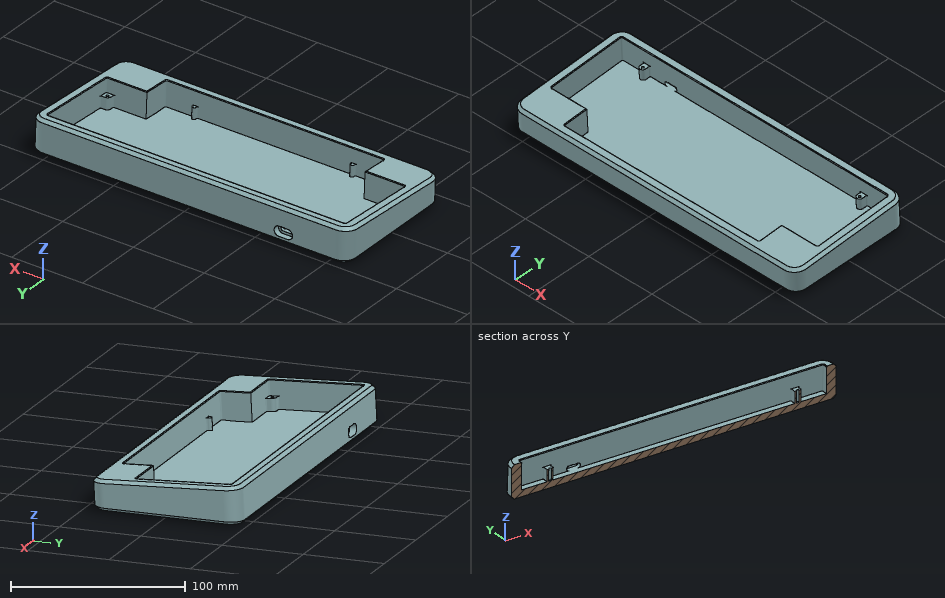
import cadquery as cq
import math

LENGTH = 225.3
DEPTH = 92.0
TILT = 3.0
RIM_HEIGHT = 20.7
RIM_SHIFT = -0.7
CORNER_RADIUS = 9.0
EDGE_CHAMFER = 2.0

CAVITY_HALF_LENGTH = 105.5
CAVITY_BACK = 39.0
CAVITY_FRONT = -38.8
BLOCK_INNER_X = 77.0
BLOCK_BACK = -19.8
CAVITY_DEPTH = 17.8
CAVITY_CORNER_RADIUS = 1.0
RIM_CHAMFER = 0.5
RIM_TAPER = -45
MIN_FLOOR = 1.3

POST_HEIGHT = 7.9
POST_FILLET = 0.7
POST_EMBED = 1.1
SCREW_DIAMETER = 1.6
BACK_POST_X = 85.8
BACK_POST_RADIUS = 2.3
BACK_POST_REACH = 3.4
CORNER_POST_RADIUS = 2.5
CORNER_POST_REACH = 3.0
FRONT_POST_X = 55.9
FRONT_POST_RADIUS = 1.4
FRONT_POST_REACH = 1.4

PORT_X = -67.1
PORT_WIDTH = 9.5
PORT_HEIGHT = 3.2
PORT_WALL = 2.7
PLUG_HEIGHT = 6.5
PLUG_WIDTH = PORT_WIDTH + PLUG_HEIGHT - PORT_HEIGHT

SPAN = 2 * LENGTH
SIDES = (-1, 1)
ARC_MIDDLE = math.sqrt(0.5)


def sloped(below=0.0):
    """Workplane parallel to the top, the given distance below it."""
    level = cq.Plane(origin=(0, RIM_SHIFT, RIM_HEIGHT))
    return cq.Workplane(level.rotated((TILT, 0, 0))).workplane(offset=-below)


def space_above(height):
    """Large block filling everything above a level height."""
    return cq.Workplane().box(SPAN, SPAN, SPAN, centered=(True, True, False)).translate((0, 0, height))


def outer_body():
    prism = sloped().sketch().rect(LENGTH, DEPTH).vertices().fillet(CORNER_RADIUS).finalize()
    wedge = prism.extrude(-2 * RIM_HEIGHT).intersect(space_above(0))
    return wedge.faces("<Z or >Z").chamfer(EDGE_CHAMFER)


def rounded_room(half_length, front, back):
    """Round-cornered room from the sloped floor up to the top, widening at the rim."""

    def outline(below):
        middle = (front + back) / 2
        rectangle = cq.Sketch().rect(2 * half_length, back - front).vertices().fillet(CAVITY_CORNER_RADIUS)
        return sloped(below).center(0, middle).placeSketch(rectangle)

    walls = outline(CAVITY_DEPTH).extrude(CAVITY_DEPTH)
    flare = outline(RIM_CHAMFER).extrude(RIM_CHAMFER, taper=RIM_TAPER)
    return walls.union(flare)


def cavity():
    main_room = rounded_room(CAVITY_HALF_LENGTH, BLOCK_BACK, CAVITY_BACK)
    front_bay = rounded_room(BLOCK_INNER_X, CAVITY_FRONT, 0)
    return main_room.union(front_bay).intersect(space_above(MIN_FLOOR))


def wall_post(x, wall_y, facing, radius, reach):
    """Round-ended post on a wall; facing is +1 or -1 for the Y direction it points in."""
    flare = radius + POST_FILLET
    near = POST_FILLET * (1 - ARC_MIDDLE)

    def at(u, v):
        return (x + u, wall_y + facing * v)

    outline = (
        sloped(CAVITY_DEPTH)
        .moveTo(*at(-flare, -POST_EMBED))
        .lineTo(*at(-flare, 0))
        .threePointArc(at(-radius - near, near), at(-radius, POST_FILLET))
        .lineTo(*at(-radius, reach))
        .threePointArc(at(0, reach + radius), at(radius, reach))
        .lineTo(*at(radius, POST_FILLET))
        .threePointArc(at(radius + near, near), at(flare, 0))
        .lineTo(*at(flare, -POST_EMBED))
        .close()
    )
    return outline.extrude(POST_HEIGHT)


def corner_post(side):
    """Post filling the corner between an end wall and the corner block beside it."""
    edge = CORNER_POST_REACH + CORNER_POST_RADIUS
    flare = edge + POST_FILLET
    near = POST_FILLET * (1 - ARC_MIDDLE)
    middle = CORNER_POST_REACH + CORNER_POST_RADIUS * ARC_MIDDLE

    def at(u, v):
        return (side * (CAVITY_HALF_LENGTH - u), BLOCK_BACK + v)

    outline = (
        sloped(CAVITY_DEPTH)
        .moveTo(*at(-POST_EMBED, flare))
        .lineTo(*at(0, flare))
        .threePointArc(at(near, edge + near), at(POST_FILLET, edge))
        .lineTo(*at(CORNER_POST_REACH, edge))
        .threePointArc(at(middle, middle), at(edge, CORNER_POST_REACH))
        .lineTo(*at(edge, POST_FILLET))
        .threePointArc(at(edge + near, near), at(flare, 0))
        .lineTo(*at(flare, -POST_EMBED))
        .lineTo(*at(-POST_EMBED, -POST_EMBED))
        .close()
    )
    return outline.extrude(POST_HEIGHT)


def screw_holes():
    corner_x = CAVITY_HALF_LENGTH - CORNER_POST_REACH
    centres = []
    for side in SIDES:
        centres.append((side * BACK_POST_X, CAVITY_BACK - BACK_POST_REACH))
        centres.append((side * corner_x, BLOCK_BACK + CORNER_POST_REACH))
    post_top = sloped(CAVITY_DEPTH - POST_HEIGHT)
    return post_top.pushPoints(centres).circle(SCREW_DIAMETER / 2).extrude(-POST_HEIGHT)


def cable_port():
    """Round-ended port through the back wall, with a larger recess for the plug outside."""
    floor = sloped(CAVITY_DEPTH).plane
    inside = cq.Plane(
        origin=floor.toWorldCoords((PORT_X, CAVITY_BACK, PORT_HEIGHT / 2)),
        xDir=floor.xDir,
        normal=floor.yDir,
    )
    opening = cq.Workplane(inside).slot2D(PORT_WIDTH, PORT_HEIGHT).extrude(DEPTH)
    recess = cq.Workplane(inside).workplane(offset=PORT_WALL).slot2D(PLUG_WIDTH, PLUG_HEIGHT).extrude(DEPTH)
    return opening.union(recess)


case = outer_body().cut(cavity())
for side in SIDES:
    case = case.union(wall_post(side * BACK_POST_X, CAVITY_BACK, -1, BACK_POST_RADIUS, BACK_POST_REACH))
    case = case.union(wall_post(side * FRONT_POST_X, CAVITY_FRONT, 1, FRONT_POST_RADIUS, FRONT_POST_REACH))
    case = case.union(corner_post(side))
result = case.cut(screw_holes()).cut(cable_port())